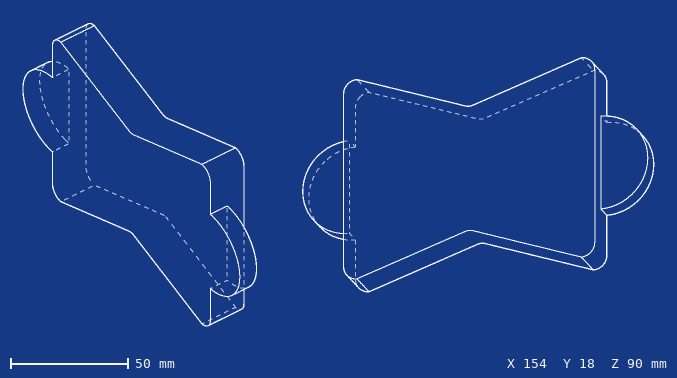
import cadquery as cq
import math

overall_length = 154.0
overall_height = 90.0
thickness = 18.0
ear_radius = 21.0
ear_thickness = thickness / 2
waist_height = 56.0
corner_radius = 6.0
waist_radius = 5.0

half_length = overall_length / 2 - ear_radius
half_height = overall_height / 2

peak_x = half_length - corner_radius
end_z = half_height - corner_radius

waist_centre_z = waist_height / 2 + waist_radius
peak_rise = half_height - waist_centre_z
slope = math.atan2(peak_rise, peak_x) + math.asin(waist_radius / math.hypot(peak_x, peak_rise))
waist_end_x = waist_radius * math.sin(slope)
waist_end_z = waist_centre_z - waist_radius * math.cos(slope)


def make_body():
    """Bow-tie plate with its front face on Y = 0."""
    diagonal = corner_radius * math.sqrt(0.5)
    arc_mid_x = peak_x + diagonal
    arc_mid_z = end_z + diagonal
    profile = cq.Workplane("XZ").moveTo(half_length, -end_z)
    for side in (1, -1):
        profile = (
            profile.lineTo(side * half_length, side * end_z)
            .threePointArc((side * arc_mid_x, side * arc_mid_z), (side * peak_x, side * half_height))
            .lineTo(side * waist_end_x, side * waist_end_z)
            .threePointArc((0, side * waist_height / 2), (-side * waist_end_x, side * waist_end_z))
            .lineTo(-side * peak_x, side * half_height)
            .threePointArc((-side * arc_mid_x, side * arc_mid_z), (-side * half_length, side * end_z))
        )
    return profile.close().extrude(-thickness)


def make_ears():
    """Thinner discs at both ends, flush with the front face."""
    centres = [(-half_length, 0), (half_length, 0)]
    return cq.Workplane("XZ").pushPoints(centres).circle(ear_radius).extrude(-ear_thickness)


result = make_body().union(make_ears())